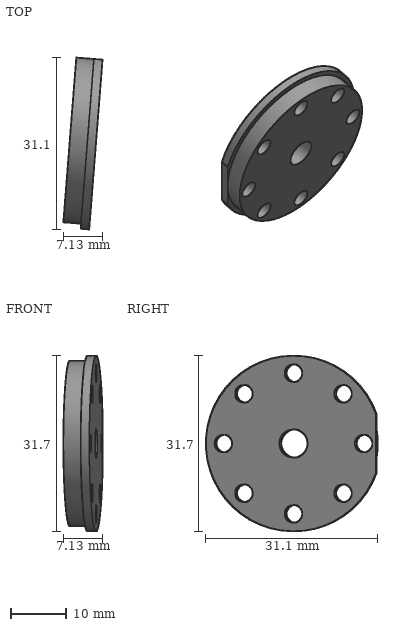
import cadquery as cq

flange_radius = 15.85
flange_thickness = 1.6
boss_radius = 14.95
boss_thickness = 3.2
bore_diameter = 5.08
bolt_hole_diameter = 3.17
bolt_circle_radius = 12.7
bolt_hole_count = 8
tilt_angle = 4.5

total_thickness = boss_thickness + flange_thickness
flat_distance = boss_radius


def make_flange():
    """Disc behind the boss, trimmed by one flat on its +Y side."""
    disc = cq.Workplane("YZ", origin=(boss_thickness, 0, 0)).circle(flange_radius).extrude(flange_thickness)
    trim_width = flange_radius - flat_distance
    trim = (
        cq.Workplane("XY")
        .box(flange_thickness, trim_width, 2 * flange_radius)
        .translate((boss_thickness + flange_thickness / 2, flat_distance + trim_width / 2, 0))
    )
    return disc.cut(trim)


def make_holes():
    """Central bore and ring of bolt holes, all through the full thickness."""
    bore = cq.Workplane("YZ").circle(bore_diameter / 2).extrude(total_thickness)
    bolt_holes = (
        cq.Workplane("YZ")
        .polarArray(bolt_circle_radius, 0, 360, bolt_hole_count)
        .circle(bolt_hole_diameter / 2)
        .extrude(total_thickness)
    )
    return bore.union(bolt_holes)


boss = cq.Workplane("YZ").circle(boss_radius).extrude(boss_thickness)
straight_part = boss.union(make_flange()).cut(make_holes())

result = straight_part.rotate((0, 0, 0), (0, 0, 1), -tilt_angle)